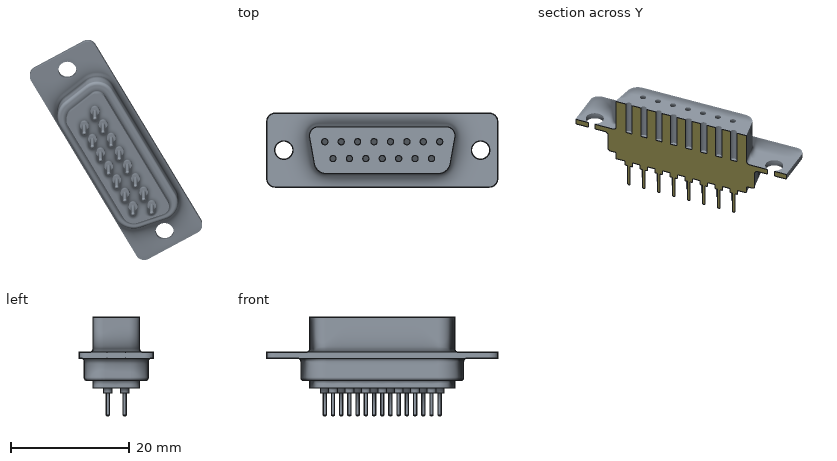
import cadquery as cq
import math

FLANGE_LENGTH = 39.12
FLANGE_WIDTH = 12.55
FLANGE_THICKNESS = 1.05
FLANGE_CORNER_RADIUS = 1.5
MOUNTING_HOLE_DIAMETER = 3.05
MOUNTING_HOLE_SPACING = 33.3

D_MID_HALF_LENGTH = 11.9
D_WIDTH = 7.9
D_SIDE_ANGLE = 10.0
D_WIDE_RADIUS = 1.5
D_NARROW_RADIUS = 2.0

SHELL_HEIGHT = 5.9
BACK_HEIGHT = 3.75
INSERT_DROP = 5.05

BACK_OVERHANG = 1.5
EDGE_RADIUS = 0.5

CONTACT_PITCH = 2.78
ROW_SPACING = 2.85
LONG_ROW_COUNT = 8
SHORT_ROW_COUNT = LONG_ROW_COUNT - 1
SOCKET_DIAMETER = 1.05
COLLAR_DIAMETER = 1.5
COLLAR_HEIGHT = 0.82
PIN_DIAMETER = 0.6
PIN_LENGTH = 3.9
PIN_TIP_CHAMFER = 0.2

ROOT_TOLERANCE = 0.05
OVERLAP = 0.4

SHELL_TOP = FLANGE_THICKNESS + SHELL_HEIGHT
COLLAR_BOTTOM = -INSERT_DROP - COLLAR_HEIGHT
PIN_BOTTOM = COLLAR_BOTTOM - PIN_LENGTH


def d_prism(bottom, top, offset=0.0):
    """D-shaped prism between two heights, its outline grown outward by offset."""
    angle = math.radians(D_SIDE_ANGLE)
    half_width = D_WIDTH / 2 + offset
    mid_half_length = D_MID_HALF_LENGTH + offset / math.cos(angle)
    slant = half_width * math.tan(angle)
    wide = mid_half_length + slant
    narrow = mid_half_length - slant
    corners = [
        (-wide, half_width),
        (wide, half_width),
        (narrow, -half_width),
        (-narrow, -half_width),
    ]
    prism = cq.Workplane("XY").workplane(offset=bottom).polyline(corners).close().extrude(top - bottom)
    prism = prism.edges("|Z").edges(">Y").fillet(D_WIDE_RADIUS + offset)
    return prism.edges("|Z").edges("<Y").fillet(D_NARROW_RADIUS + offset)


def contact_row(count, y):
    """Evenly spaced contact positions centred on X = 0."""
    first = -(count - 1) / 2 * CONTACT_PITCH
    return [(first + i * CONTACT_PITCH, y) for i in range(count)]


def cylinders(points, diameter, bottom, top):
    """Upright cylinders at the given points between two heights."""
    base = cq.Workplane("XY").workplane(offset=bottom)
    return base.pushPoints(points).circle(diameter / 2).extrude(top - bottom)


contacts = contact_row(LONG_ROW_COUNT, ROW_SPACING / 2) + contact_row(SHORT_ROW_COUNT, -ROW_SPACING / 2)

flange = (
    cq.Workplane("XY")
    .rect(FLANGE_LENGTH, FLANGE_WIDTH)
    .extrude(FLANGE_THICKNESS)
    .edges("|Z")
    .fillet(FLANGE_CORNER_RADIUS)
)

back = d_prism(-BACK_HEIGHT, 0, BACK_OVERHANG).faces("<Z").edges().fillet(EDGE_RADIUS)
body = flange.union(d_prism(0, SHELL_TOP)).union(back)

root_x = FLANGE_LENGTH / 2 - FLANGE_CORNER_RADIUS
root_y = FLANGE_WIDTH / 2 - EDGE_RADIUS
for height in (FLANGE_THICKNESS, 0):
    root_zone = cq.selectors.BoxSelector(
        (-root_x, -root_y, height - ROOT_TOLERANCE),
        (root_x, root_y, height + ROOT_TOLERANCE),
    )
    body = body.edges(root_zone).fillet(EDGE_RADIUS)

body = body.union(d_prism(-INSERT_DROP, 0))

mounting_points = [(side * MOUNTING_HOLE_SPACING / 2, 0) for side in (-1, 1)]
body = body.cut(cylinders(mounting_points, MOUNTING_HOLE_DIAMETER, 0, FLANGE_THICKNESS))

body = body.cut(cylinders(contacts, SOCKET_DIAMETER, FLANGE_THICKNESS, SHELL_TOP))

collars = cylinders(contacts, COLLAR_DIAMETER, COLLAR_BOTTOM, -INSERT_DROP + OVERLAP)
pins = cylinders(contacts, PIN_DIAMETER, PIN_BOTTOM, COLLAR_BOTTOM + OVERLAP)
pins = pins.faces("<Z").edges().chamfer(PIN_TIP_CHAMFER)

result = body.union(collars).union(pins)